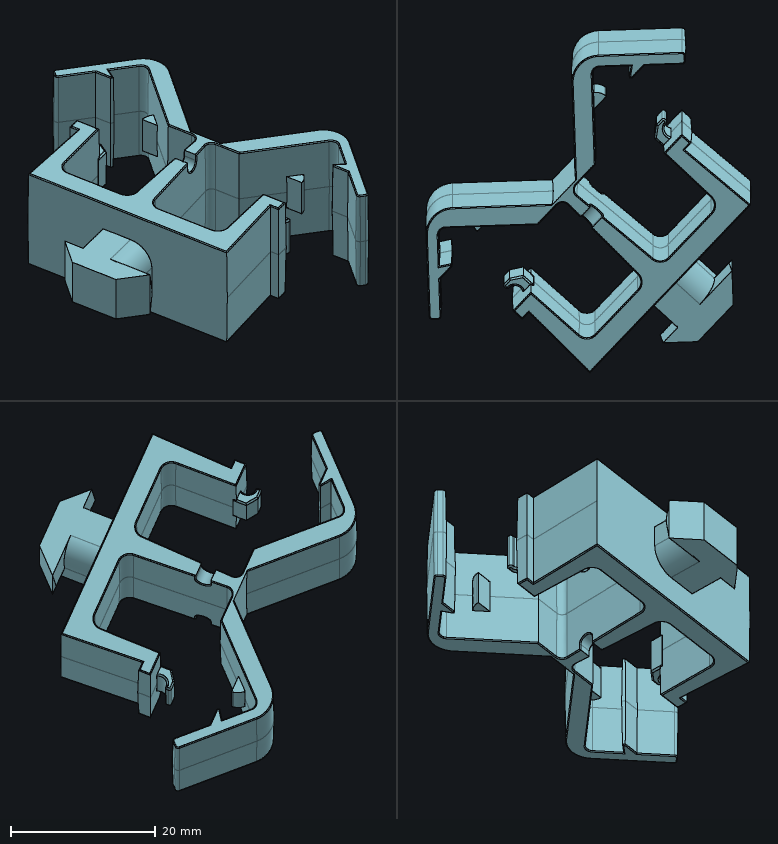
import cadquery as cq
import math

clip_width = 16.0
half_width = clip_width / 2
draft_angle = 0.75
edge_chamfer = 0.15

base_half_length = 16.4
floor_height = 3.3
wall_outer_x = 15.9
wall_inner_x = 13.4
wall_root_inner_x = 13.25
wall_height = 13.88
lip_half_length = 17.22
lip_depth = 1.95
pocket_radius = 1.5

stem_root_half = 1.7
stem_top_half = 0.98
stem_top_radius = 0.95
bridge_bottom_y = 19.5
bridge_top_y = 20.1

undrafted_levels = (0, bridge_top_y)

rising_outer_offset = 17.92
rising_inner_offset = 13.63
falling_outer_offset = 47.5
falling_inner_offset = 44.87
arm_end_offset = -4.69
arm_outer_radius = 3.89
arm_inner_radius = 1.0
arm_end_radius = 0.55

barb_root_x = 19.3
barb_tip = (17.9, 24.6)
barb_nose_x = 18.2
barb_base_y = 24.15
catch_top_x = 12.35
catch_nose_x = 13.1
catch_nose_y = 24.55
catch_bulge = 0.12
catch_base_y = 24.3
catch_width = 5.5
catch_sink = 1.0

notch_width = 2.2
notch_depth = 2.1
notch_center_y = 14.95

hook_width = 6.0
hook_inner_x = 13.3
hook_top_y = 16.5
hook_shoulder_y = 15.4
hook_bend_x = 14.9
hook_tip_x = 16.3
hook_tip_bottom_y = 15.65
hook_recess_start_x = 15.7
hook_recess_mid = (14.9, 14.85)
hook_root_x = 15.0
hook_sink = 0.5
hook_end_chamfer = 0.25
hook_tip_radius = 0.3

foot_width = 7.0
neck_half_length = 4.0
neck_corner_radius = 3.5
head_half_length = 7.0
head_ridge_y = -4.6
head_shoulder_y = -5.17
head_tip_half = 3.57
head_tip_y = -8.6


def line_crossing(rising_offset, falling_offset):
    """Point where y = x + rising_offset meets y = falling_offset - x."""
    return (
        (falling_offset - rising_offset) / 2,
        (falling_offset + rising_offset) / 2,
    )


def on_falling_inner(x):
    return (x, falling_inner_offset - x)


def on_rising_inner(x):
    return (x, x + rising_inner_offset)


def corner_arc(before, corner, after, radius):
    """Start, middle and end of the arc that rounds a corner between two straight sides."""
    to_before = cq.Vector(before[0] - corner[0], before[1] - corner[1]).normalized()
    to_after = cq.Vector(after[0] - corner[0], after[1] - corner[1]).normalized()
    half_angle = to_before.getAngle(to_after) / 2
    tangent_length = radius / math.tan(half_angle)
    bisector = (to_before + to_after).normalized()
    vertex = cq.Vector(corner[0], corner[1])
    start = vertex + to_before * tangent_length
    middle = vertex + bisector * (radius / math.sin(half_angle) - radius)
    end = vertex + to_after * tangent_length
    return start.toTuple()[:2], middle.toTuple()[:2], end.toTuple()[:2]


def rounded_outline(corners):
    """Closed wire through (x, y, radius) corners; radius 0 leaves a corner sharp, as the first must be."""
    wire = cq.Workplane("XY").moveTo(*corners[0][:2])
    for index, (x, y, radius) in enumerate(corners):
        if radius == 0:
            if index > 0:
                wire = wire.lineTo(x, y)
            continue
        following = corners[(index + 1) % len(corners)]
        start, middle, end = corner_arc(corners[index - 1][:2], (x, y), following[:2], radius)
        wire = wire.lineTo(*start).threePointArc(middle, end)
    return wire.close()


def mirrored(shape):
    return shape.union(shape.mirror("YZ"))


def clip_corners():
    """Corners of the clip at the parting plane, counter-clockwise from the front right."""
    lip_bottom_y = wall_height - lip_depth
    right_half = [
        (base_half_length, 0, 0),
        (wall_outer_x, lip_bottom_y, 0),
        (lip_half_length, lip_bottom_y, 0),
        (lip_half_length, wall_height, 0),
        (wall_inner_x, wall_height, 0),
        (wall_root_inner_x, floor_height, pocket_radius),
        (stem_root_half, floor_height, pocket_radius),
        (stem_top_half, bridge_bottom_y, stem_top_radius),
        (bridge_bottom_y - rising_inner_offset, bridge_bottom_y, 0),
        (*line_crossing(rising_inner_offset, falling_inner_offset), arm_inner_radius),
        (*on_falling_inner(barb_root_x), 0),
        (*barb_tip, 0),
        (barb_nose_x, barb_base_y, 0),
        (falling_inner_offset - barb_base_y, barb_base_y, 0),
        (*line_crossing(arm_end_offset, falling_inner_offset), arm_end_radius),
        (*line_crossing(arm_end_offset, falling_outer_offset), arm_end_radius),
        (*line_crossing(rising_outer_offset, falling_outer_offset), arm_outer_radius),
        (bridge_top_y - rising_outer_offset, bridge_top_y, 0),
    ]
    left_half = [(-x, y, radius) for x, y, radius in reversed(right_half)]
    return right_half + left_half


def side_inset(start, end, distance):
    """Inset of one outline side: none for the sides that stay square to the parting plane."""
    is_undrafted = start[1] == end[1] and start[1] in undrafted_levels
    return 0 if is_undrafted else distance


def inset_corners(corners, distance):
    """Move the drafted sides of a counter-clockwise outline inward, keeping the arcs concentric."""
    moved = []
    for index, corner in enumerate(corners):
        x, y, radius = corner
        before = corners[index - 1]
        after = corners[(index + 1) % len(corners)]
        arriving = cq.Vector(x - before[0], y - before[1]).normalized()
        leaving = cq.Vector(after[0] - x, after[1] - y).normalized()
        turn = arriving.cross(leaving).z
        arriving_inset = side_inset(before, corner, distance)
        leaving_inset = side_inset(corner, after, distance)
        shift = (leaving * arriving_inset - arriving * leaving_inset) * (1 / turn)
        moved_radius = radius - math.copysign(distance, turn) if radius else 0
        moved.append((x + shift.x, y + shift.y, moved_radius))
    return moved


def make_front_bevels():
    """Bars that bevel the two long edges of the front face."""
    bevel = (
        cq.Workplane("YZ")
        .moveTo(0, half_width - edge_chamfer)
        .lineTo(edge_chamfer, half_width)
        .lineTo(0, half_width)
        .close()
        .extrude(lip_half_length, both=True)
    )
    return bevel.union(bevel.mirror("XY"))


def make_clip():
    middle_outline = clip_corners()
    bevel_z = half_width - edge_chamfer
    draft_inset = bevel_z * math.tan(math.radians(draft_angle))
    sections = [(0, 0), (draft_inset, bevel_z), (draft_inset + edge_chamfer, half_width)]
    wires = [
        rounded_outline(inset_corners(middle_outline, inset)).val().translate((0, 0, z))
        for inset, z in sections
    ]
    upper = cq.Workplane(cq.Solid.makeLoft(wires, True))
    return upper.union(upper.mirror("XY")).cut(make_front_bevels())


def make_notches():
    slot_length = 2 * notch_depth
    return (
        cq.Workplane("YZ")
        .pushPoints([(notch_center_y, half_width), (notch_center_y, -half_width)])
        .slot2D(slot_length, notch_width, 90)
        .extrude(stem_root_half, both=True)
    )


def make_catches():
    nose = (catch_nose_x, catch_nose_y)
    top = on_rising_inner(catch_top_x)
    bulge_mid = ((nose[0] + top[0]) / 2 + catch_bulge, (nose[1] + top[1]) / 2 + catch_bulge / 2)
    inside_x = catch_base_y - rising_inner_offset
    catch = (
        cq.Workplane("XY")
        .moveTo(inside_x - catch_sink, catch_base_y)
        .lineTo(catch_nose_x, catch_base_y)
        .lineTo(*nose)
        .threePointArc(bulge_mid, top)
        .close()
        .extrude(catch_width / 2, both=True)
    )
    return mirrored(catch)


def make_hooks():
    hook = (
        cq.Workplane("XY")
        .moveTo(hook_inner_x, wall_height - hook_sink)
        .lineTo(hook_inner_x, hook_shoulder_y)
        .lineTo(hook_bend_x, hook_top_y)
        .lineTo(hook_tip_x, hook_top_y)
        .lineTo(hook_tip_x, hook_tip_bottom_y)
        .lineTo(hook_recess_start_x, hook_tip_bottom_y)
        .threePointArc(hook_recess_mid, (hook_root_x, wall_height))
        .lineTo(hook_root_x, wall_height - hook_sink)
        .close()
        .extrude(hook_width / 2, both=True)
    )
    hook = hook.edges("|Z and >X").fillet(hook_tip_radius)
    hook = hook.faces("<Z or >Z").edges().chamfer(hook_end_chamfer)
    return mirrored(hook)


def make_foot():
    half_foot = foot_width / 2
    neck = (
        cq.Workplane("XZ")
        .moveTo(-neck_half_length, half_foot)
        .lineTo(neck_half_length - neck_corner_radius, half_foot)
        .radiusArc((neck_half_length, half_foot - neck_corner_radius), neck_corner_radius)
        .lineTo(neck_half_length, -half_foot)
        .lineTo(neck_corner_radius - neck_half_length, -half_foot)
        .radiusArc((-neck_half_length, neck_corner_radius - half_foot), neck_corner_radius)
        .close()
        .extrude(-head_shoulder_y)
    )
    head = (
        cq.Workplane("XY")
        .moveTo(-head_half_length, head_ridge_y)
        .lineTo(head_half_length, head_ridge_y)
        .lineTo(head_half_length, head_shoulder_y)
        .lineTo(head_tip_half, head_tip_y)
        .lineTo(-head_tip_half, head_tip_y)
        .lineTo(-head_half_length, head_shoulder_y)
        .close()
        .extrude(half_foot, both=True)
    )
    roof = (
        cq.Workplane("YZ")
        .moveTo(head_tip_y, -half_foot)
        .lineTo(head_shoulder_y, -half_foot)
        .lineTo(head_ridge_y, 0)
        .lineTo(head_shoulder_y, half_foot)
        .lineTo(head_tip_y, half_foot)
        .close()
        .extrude(head_half_length, both=True)
    )
    return neck.union(head.intersect(roof))


def bevel_notches(clip):
    """Chamfer the rounded bottom edges of the notches on both sides of the stem."""
    return clip.edges("%ELLIPSE").chamfer(edge_chamfer)


clip = bevel_notches(make_clip().cut(make_notches()))
result = clip.union(make_catches()).union(make_hooks()).union(make_foot())